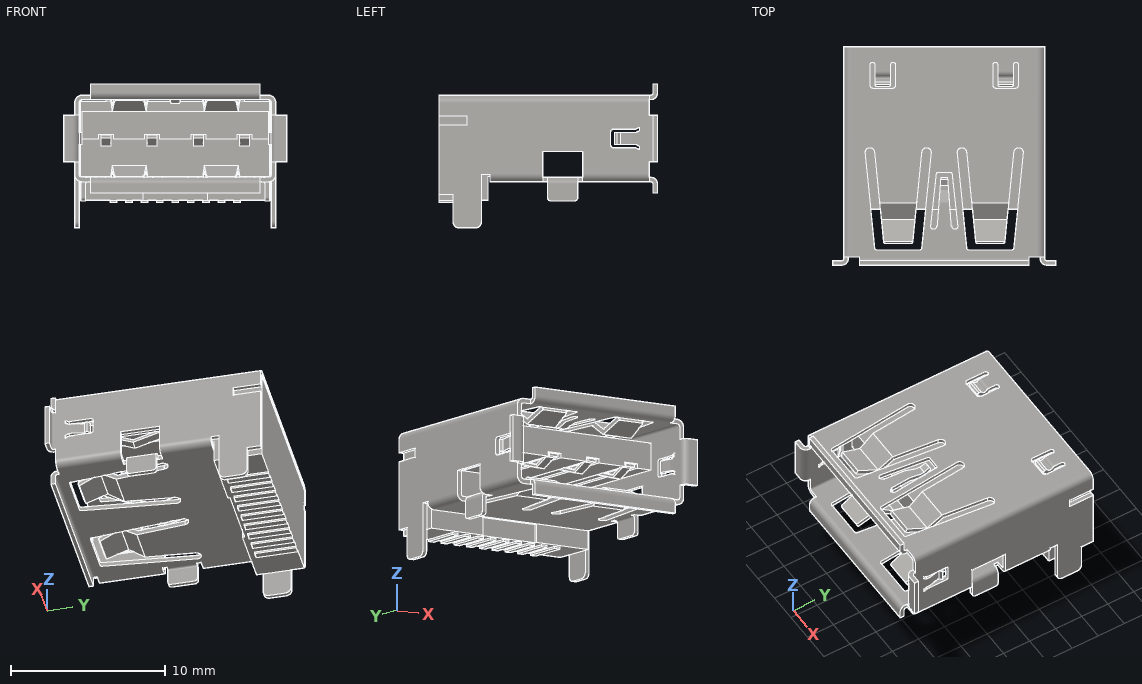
import cadquery as cq
import math

RIGHT = cq.Vector(1, 0, 0)
BACK = cq.Vector(0, 1, 0)
FRONT = cq.Vector(0, -1, 0)
UP = cq.Vector(0, 0, 1)
DOWN = cq.Vector(0, 0, -1)

SHEET = 0.3
SHELL_WIDTH = 13.05
SHELL_HEIGHT = 5.64
SHELL_DEPTH = 13.66
CORNER_RADIUS = 0.5
HALF_WIDTH = SHELL_WIDTH / 2
MID_HEIGHT = SHELL_HEIGHT / 2
CAVITY_HALF = HALF_WIDTH - SHEET
FLOOR = SHEET
CEILING = SHELL_HEIGHT - SHEET
FLOOR_DEPTH = 10.35
CUT_MARGIN = 0.07
ROOT_OVERLAP = 0.15

BEND_RADIUS = 0.44
BEND_LEAD = 0.1
FLANGE_WIDTH = 11.02
SIDE_FLANGE_WIDTH = 3.03
FLANGE_RISE = SHEET + 0.72
SIDE_FLANGE_REACH = 7.25

LEG_FRONT = 10.89
LEG_BACK = 12.75
LEG_BOTTOM = -2.99
LEG_CORNER = 0.39
REAR_WALL_BOTTOM = -0.83
REAR_SLOT_START = 11.83
REAR_SLOT_BOTTOM = 3.68
REAR_SLOT_HEIGHT = 0.6

WINDOW_FRONT = 4.34
WINDOW_BACK = 6.92
WINDOW_TOP = 1.97
TAB_WIDTH = 1.97
TAB_OUTER_X = 6.12
TAB_BOTTOM = -1.25
TAB_CORNER = 0.23
TAB_ROOT_X = TAB_OUTER_X - BEND_RADIUS - BEND_LEAD
TAB_MID = (WINDOW_FRONT + WINDOW_BACK) / 2

HOUSING_HALF = 6.15
HOUSING_TOP = 5.25
HOUSING_BOTTOM = -1.2
BLOCK_FRONT = 10.47
STEP_FRONT = 10.15
STEP_CLEARANCE = 0.05
STEP_BOTTOM = FLOOR + STEP_CLEARANCE
TONGUE_HALF = 6.05
TONGUE_FRONT = 3.09
TONGUE_BOTTOM = 2.8
TONGUE_TOP = 4.58
FOOT_RECESS_WIDTH = 4.2
FOOT_RECESS_DEPTH = 0.15
RIB_COUNT = 9
RIB_PITCH = 1.0
RIB_WIDTH = 0.44
RIB_HEIGHT = 0.13

CONTACT_COUNT = 4
CONTACT_PITCH = 3.0
CONTACT_WIDTH = 0.64
CONTACT_THICKNESS = 0.19
CONTACT_TOP = 3.05
CONTACT_TIP = 3.19
CONTACT_BOW_START = 3.62
CONTACT_BOW_LOW = 4.78
CONTACT_BOW_END = 6.52
CONTACT_BOW_DEPTH = 0.51
CONTACT_BACK = 11.89
GROOVE_WIDTH = 0.97
GROOVE_DEPTH = 0.29

LATCH_X = 3.99
LATCH_ROOT = 12.47
LATCH_LENGTH = 1.52
LATCH_SLOT_HALF = 0.83
POCKET_DEPTH = 0.23
POCKET_CLEARANCE = 0.17


def box(x_range, y_range, z_range):
    """Block between two limits along each axis."""
    lows, highs = zip(x_range, y_range, z_range)
    size = [high - low for low, high in zip(lows, highs)]
    return cq.Workplane("XY").box(*size, centered=False).translate(lows)


def centred_positions(count, pitch):
    return [(i - (count - 1) / 2) * pitch for i in range(count)]


def mirrored_pair(body):
    """The body together with its mirror image across the YZ plane."""
    return body.union(body.mirror("YZ"))


def offset_path(path, distance):
    """Path moved sideways (to the left of its direction) with mitred corners."""
    angles = [math.atan2(b[1] - a[1], b[0] - a[0]) for a, b in zip(path, path[1:])]
    before = [angles[0]] + angles
    after = angles + [angles[-1]]
    moved = []
    for (u, v), a, b in zip(path, before, after):
        reach = distance / math.cos((b - a) / 2)
        turn = (a + b) / 2
        moved.append((u - reach * math.sin(turn), v + reach * math.cos(turn)))
    return moved


def bent_strip(path, thickness, width):
    """Sheet strip bent along a path in the YZ plane, centred on X = 0."""
    outline = path + offset_path(path, thickness)[::-1]
    return cq.Workplane("YZ").polyline(outline).close().extrude(width / 2, both=True)



def trapezoid(root_half, tip_half, start, end, height):
    outline = [(-root_half, start), (root_half, start), (tip_half, end), (-tip_half, end)]
    return cq.Workplane("XY").polyline(outline).close().extrude(height)


def finger_cutter(root_half, tip_half, length, corner):
    """Opening around a finger, without the ends of its two arms."""
    opening = trapezoid(root_half, tip_half, 0, length, SHEET + 2 * CUT_MARGIN)
    return opening.edges("|Z and >Y").fillet(corner).translate((0, 0, -CUT_MARGIN))


def round_arm_ends(root_half, arm_width):
    arm_x = root_half - arm_width / 2
    ends = cq.Workplane("XY").pushPoints([(-arm_x, 0), (arm_x, 0)]).circle(arm_width / 2)
    return ends.extrude(SHEET + 2 * CUT_MARGIN).translate((0, 0, -CUT_MARGIN))


def hooked_arm_ends(root_half, arm_width, run, spread):
    """Arm ends that splay outwards beyond the finger root."""
    inner = root_half - arm_width
    outline = [(inner, 0), (root_half, 0), (root_half + spread, -run), (inner + spread, -run)]
    hook = cq.Workplane("XY").polyline(outline).close().extrude(SHEET + 2 * CUT_MARGIN)
    return mirrored_pair(hook.translate((0, 0, -CUT_MARGIN)))


def tapered_finger(strip, root_half, tip_half, tip_corner):
    """Bent strip trimmed to the tapered outline of a finger."""
    bounds = strip.val().BoundingBox()
    plan = trapezoid(root_half, tip_half, -ROOT_OVERLAP, bounds.ymax, bounds.zmax)
    return strip.intersect(plan.edges("|Z and >Y").fillet(tip_corner))


def finger(root_half, tip_half, path, tip_corner):
    """Finger with sharp bends; the path gives its outer face as (along, depth)."""
    full_path = [(-ROOT_OVERLAP, 0)] + path
    strip = bent_strip(full_path, SHEET, 2 * root_half + 2 * ROOT_OVERLAP)
    return tapered_finger(strip, root_half, tip_half, tip_corner)


def place(body, root, along, inward):
    """Moves a flat-made finger or cutter to its root on the outside of the shell."""
    plane = cq.Plane(origin=root, xDir=along.cross(inward), normal=inward)
    return cq.Workplane(body.val().located(cq.Location(plane)))


def add_fingers(shell, cutter, body, spots):
    for root, along, inward in spots:
        shell = shell.cut(place(cutter, root, along, inward))
        shell = shell.union(place(body, root, along, inward))
    return shell


def add_plug_springs(shell):
    """Four large springs, two above and two below the plug."""
    spring_x = 2.99
    root_y = 6.79
    slot_half = 2.15
    cutter = finger_cutter(slot_half, tip_half=1.51, length=6.32, corner=0.12)
    cutter = cutter.union(round_arm_ends(slot_half, arm_width=0.61))
    bend, crest, tip = (3.28, 0), (4.35, 0.72), (5.79, 0.09)
    body = finger(root_half=1.54, tip_half=0.94, path=[bend, crest, tip], tip_corner=0.13)
    spots = []
    for x in (-spring_x, spring_x):
        spots.append(((x, root_y, SHELL_HEIGHT), FRONT, DOWN))
        spots.append(((x, root_y, 0), FRONT, UP))
    return add_fingers(shell, cutter, body, spots)


def add_centre_lock(shell):
    """Small catch in the middle of the top plate."""
    root_y = 2.0
    slot_half = 0.88
    dip = 0.23
    cutter = finger_cutter(slot_half, tip_half=0.51, length=3.48, corner=0.09)
    cutter = cutter.union(round_arm_ends(slot_half, arm_width=0.39))
    path = [(1.51, 0), (2.32, dip), (2.62, dip), (3.05, 0.05)]
    body = finger(root_half=0.46, tip_half=0.22, path=path, tip_corner=0.06)
    return add_fingers(shell, cutter, body, [((0, root_y, SHELL_HEIGHT), BACK, DOWN)])


def latch_strip():
    """Strip that curves down out of the sheet, then up again, with a straight tip."""
    bend_start = 0.45
    sweep = math.radians(50)
    down_radius = 0.36
    up_radius = 0.17
    tip_length = 0.28
    strip_width = 1.16
    down_centre = (bend_start, down_radius)
    spacing = down_radius + up_radius
    up_centre = (
        bend_start + spacing * math.sin(sweep),
        down_radius - spacing * math.cos(sweep),
    )

    def down_point(radius, angle):
        return (down_centre[0] + radius * math.sin(angle), down_centre[1] - radius * math.cos(angle))

    def up_point(radius, angle):
        return (up_centre[0] + radius * math.sin(angle), up_centre[1] + radius * math.cos(angle))

    def tip_point(radius):
        u, v = up_point(radius, sweep)
        return (u + tip_length * math.cos(sweep), v - tip_length * math.sin(sweep))

    down_inner = down_radius - SHEET
    up_outer = up_radius + SHEET
    return (
        cq.Workplane("YZ")
        .moveTo(-ROOT_OVERLAP, 0)
        .lineTo(bend_start, 0)
        .threePointArc(down_point(down_radius, sweep / 2), down_point(down_radius, sweep))
        .threePointArc(up_point(up_radius, 0), up_point(up_radius, sweep))
        .lineTo(*tip_point(up_radius))
        .lineTo(*tip_point(up_outer))
        .lineTo(*up_point(up_outer, sweep))
        .threePointArc(up_point(up_outer, 0), up_point(up_outer, -sweep))
        .threePointArc(down_point(down_inner, sweep / 2), (bend_start, SHEET))
        .lineTo(-ROOT_OVERLAP, SHEET)
        .close()
        .extrude(strip_width / 2, both=True)
    )


def add_rear_latches(shell):
    """Two latches dipping into the pockets of the housing."""
    latch_half = 0.51
    cutter = finger_cutter(LATCH_SLOT_HALF, LATCH_SLOT_HALF, LATCH_LENGTH, corner=0.2)
    cutter = cutter.union(round_arm_ends(LATCH_SLOT_HALF, arm_width=0.32))
    body = tapered_finger(latch_strip(), latch_half, latch_half, tip_corner=0.12)
    spots = [((x, LATCH_ROOT, SHELL_HEIGHT), FRONT, DOWN) for x in (-LATCH_X, LATCH_X)]
    return add_fingers(shell, cutter, body, spots)


def add_side_springs(shell):
    """One small spring in each side wall."""
    root_y = 0.9
    slot_half = 0.6
    spring_half = 0.39
    dip = 0.16
    cutter = finger_cutter(slot_half, slot_half, length=1.61, corner=0.17)
    cutter = cutter.union(hooked_arm_ends(slot_half, slot_half - spring_half, run=0.25, spread=0.12))
    path = [(0.17, 0), (0.88, dip), (0.99, dip), (1.19, 0)]
    body = finger(spring_half, spring_half, path, tip_corner=0.01)
    spots = [((side * HALF_WIDTH, root_y, MID_HEIGHT), BACK, RIGHT * -side) for side in (-1, 1)]
    return add_fingers(shell, cutter, body, spots)



def bent_flange(root, outward, away, rise, width):
    """Flange that runs outward from the cavity face, then bends away from the cavity."""
    plane = cq.Plane(origin=root, xDir=outward, normal=outward.cross(away))
    face = BEND_LEAD + BEND_RADIUS
    bend_centre = cq.Vector(BEND_LEAD, BEND_RADIUS)
    inner_radius = BEND_RADIUS - SHEET
    diagonal = cq.Vector(1, -1).normalized()
    outer_mid = bend_centre + diagonal * BEND_RADIUS
    inner_mid = bend_centre + diagonal * inner_radius
    return (
        cq.Workplane(plane)
        .lineTo(BEND_LEAD, 0)
        .threePointArc((outer_mid.x, outer_mid.y), (face, BEND_RADIUS))
        .lineTo(face, rise)
        .lineTo(face - SHEET, rise)
        .lineTo(face - SHEET, BEND_RADIUS)
        .threePointArc((inner_mid.x, inner_mid.y), (BEND_LEAD, SHEET))
        .lineTo(0, SHEET)
        .close()
        .extrude(width / 2, both=True)
    )


def shell_tube():
    """Rounded rectangular tube, its bottom plate cut short at the rear."""
    outer = box((-HALF_WIDTH, HALF_WIDTH), (0, SHELL_DEPTH), (0, SHELL_HEIGHT))
    inner = box((-CAVITY_HALF, CAVITY_HALF), (0, SHELL_DEPTH), (FLOOR, CEILING))
    outer = outer.edges("|Y").fillet(CORNER_RADIUS)
    inner = inner.edges("|Y").fillet(CORNER_RADIUS - SHEET)
    rear_opening = box((-HALF_WIDTH, HALF_WIDTH), (FLOOR_DEPTH, SHELL_DEPTH), (0, CORNER_RADIUS))
    return outer.cut(inner).cut(rear_opening)


def add_front_flanges(shell):
    shell = shell.union(bent_flange((0, 0, CEILING), FRONT, UP, FLANGE_RISE, FLANGE_WIDTH))
    shell = shell.union(bent_flange((0, 0, FLOOR), FRONT, DOWN, FLANGE_RISE, FLANGE_WIDTH))
    side_root = (CAVITY_HALF, 0, MID_HEIGHT)
    side_rise = SIDE_FLANGE_REACH - CAVITY_HALF
    side = bent_flange(side_root, FRONT, RIGHT, side_rise, SIDE_FLANGE_WIDTH)
    return shell.union(mirrored_pair(side))


def add_legs(shell):
    """Flat rear side walls, each with a solder leg and a slot open to the back."""
    outline = [
        (LEG_FRONT, CORNER_RADIUS),
        (SHELL_DEPTH, CORNER_RADIUS),
        (SHELL_DEPTH, REAR_WALL_BOTTOM),
        (LEG_BACK, REAR_WALL_BOTTOM),
        (LEG_BACK, LEG_BOTTOM),
        (LEG_FRONT, LEG_BOTTOM),
    ]
    wall = cq.Workplane("YZ", origin=(CAVITY_HALF, 0, 0)).polyline(outline).close().extrude(SHEET)
    wall = wall.faces("<Z").edges("|X").fillet(LEG_CORNER)
    rear_slot = box(
        (-HALF_WIDTH, HALF_WIDTH),
        (REAR_SLOT_START, SHELL_DEPTH),
        (REAR_SLOT_BOTTOM, REAR_SLOT_BOTTOM + REAR_SLOT_HEIGHT),
    )
    return shell.union(mirrored_pair(wall)).cut(rear_slot)


def add_windows_and_tabs(shell):
    """A window at each lower corner, with the tab bent down out of the bottom plate."""
    window = box((TAB_ROOT_X, HALF_WIDTH), (WINDOW_FRONT, WINDOW_BACK), (0, WINDOW_TOP))
    tab_rise = FLOOR - TAB_BOTTOM
    tab = bent_flange((TAB_ROOT_X, TAB_MID, FLOOR), RIGHT, DOWN, tab_rise, TAB_WIDTH)
    tab = tab.faces("<Z").edges("|X").fillet(TAB_CORNER)
    return shell.cut(mirrored_pair(window)).union(mirrored_pair(tab))


def make_shell():
    shell = add_front_flanges(shell_tube())
    shell = add_legs(shell)
    shell = add_windows_and_tabs(shell)
    shell = add_plug_springs(shell)
    shell = add_centre_lock(shell)
    shell = add_rear_latches(shell)
    return add_side_springs(shell)



def make_contact(x):
    """Flat strip that bows down below the tongue; its back end sits in the housing block."""
    low = CONTACT_TOP - CONTACT_BOW_DEPTH
    path = [
        (CONTACT_BACK, CONTACT_TOP),
        (CONTACT_BOW_END, CONTACT_TOP),
        (CONTACT_BOW_LOW, low),
        (CONTACT_BOW_START, CONTACT_TOP),
        (CONTACT_TIP, CONTACT_TOP),
    ]
    return bent_strip(path, CONTACT_THICKNESS, CONTACT_WIDTH).translate((x, 0, 0))



def cut_contact_seats(housing, contact_places):
    """Grooves under the tongue, and holes in the block that hold the contacts."""
    groove_half = GROOVE_WIDTH / 2
    contact_half = CONTACT_WIDTH / 2
    groove_z = (TONGUE_BOTTOM, TONGUE_BOTTOM + GROOVE_DEPTH)
    hole_z = (CONTACT_TOP - CONTACT_THICKNESS, CONTACT_TOP)
    for x in contact_places:
        groove = box((x - groove_half, x + groove_half), (TONGUE_FRONT, STEP_FRONT), groove_z)
        hole = box((x - contact_half, x + contact_half), (STEP_FRONT, CONTACT_BACK), hole_z)
        housing = housing.cut(groove).cut(hole)
    return housing


def cut_latch_pockets(housing):
    half = LATCH_SLOT_HALF + POCKET_CLEARANCE
    y_range = (LATCH_ROOT - LATCH_LENGTH - POCKET_CLEARANCE, LATCH_ROOT + 2 * POCKET_CLEARANCE)
    z_range = (HOUSING_TOP - POCKET_DEPTH, HOUSING_TOP)
    pocket = box((LATCH_X - half, LATCH_X + half), y_range, z_range)
    return housing.cut(mirrored_pair(pocket))


def add_foot_ribs(housing):
    """Row of standoff ribs under the block."""
    for x in centred_positions(RIB_COUNT, RIB_PITCH):
        rib = box(
            (x - RIB_WIDTH / 2, x + RIB_WIDTH / 2),
            (LEG_FRONT, SHELL_DEPTH),
            (HOUSING_BOTTOM - RIB_HEIGHT, HOUSING_BOTTOM),
        )
        housing = housing.union(rib)
    return housing


def make_housing(contact_places):
    block_z = (HOUSING_BOTTOM, HOUSING_TOP)
    block = box((-HOUSING_HALF, HOUSING_HALF), (BLOCK_FRONT, SHELL_DEPTH), block_z)
    tongue_z = (TONGUE_BOTTOM, TONGUE_TOP)
    tongue = box((-TONGUE_HALF, TONGUE_HALF), (TONGUE_FRONT, BLOCK_FRONT), tongue_z)
    step = box((-HOUSING_HALF, HOUSING_HALF), (STEP_FRONT, BLOCK_FRONT), (STEP_BOTTOM, HOUSING_TOP))
    foot_recess = box(
        (-FOOT_RECESS_WIDTH / 2, FOOT_RECESS_WIDTH / 2),
        (BLOCK_FRONT, BLOCK_FRONT + FOOT_RECESS_DEPTH),
        (HOUSING_BOTTOM, 0),
    )
    housing = block.union(step).union(tongue).cut(foot_recess)
    housing = cut_contact_seats(housing, contact_places)
    housing = cut_latch_pockets(housing)
    return add_foot_ribs(housing)


contact_places = centred_positions(CONTACT_COUNT, CONTACT_PITCH)
shell = make_shell()
housing = make_housing(contact_places)
contacts = [make_contact(x) for x in contact_places]

result = cq.Compound.makeCompound(
    [shell.val(), housing.val(), *[contact.val() for contact in contacts]]
)